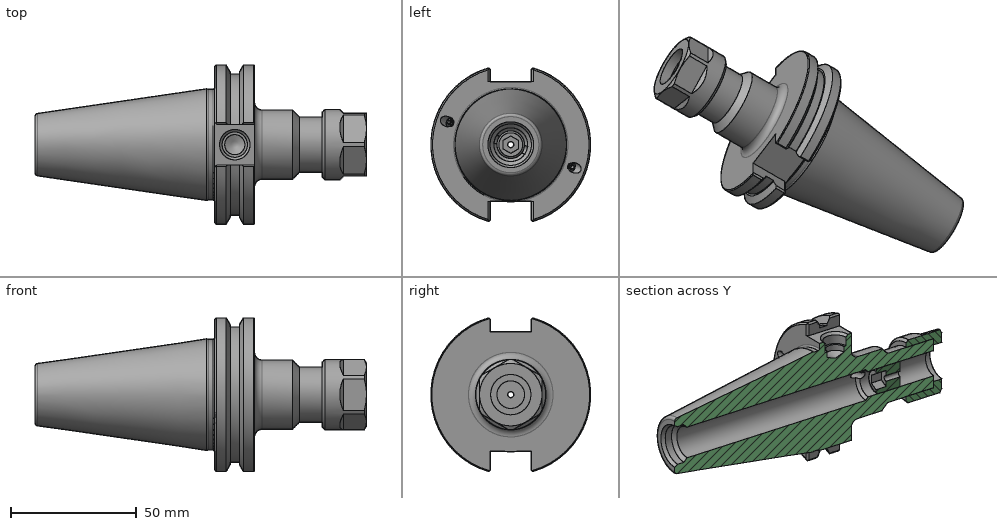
import cadquery as cq
import math


gauge_radius = 44.45 / 2
taper_length = 68.2
taper_slope = 7 / 48
taper_end_fillet = 1.3
relief_start = 0.7
relief_radius = gauge_radius - 0.2
relief_fillet = 0.7

flange_radius = 63.55 / 2
flange_front = 3.2
flange_rear = 19.1
flange_front_chamfer = 0.7
flange_rear_chamfer = 0.4
groove_center = 11.2
groove_floor_radius = 56.25 / 2
groove_floor_width = 3.6
groove_wall_height = 0.75
groove_flank_angle = 30

slot_width = 16.1
slot_edge_chamfer = 0.9
upper_slot_floor = 25.0
lower_slot_floor = 22.5

chip_hole_diameter = 10.05
chip_hole_mouth_diameter = 12.1
chip_hole_depth = 4.8
pilot_diameter = 8.0
pilot_depth = 2.5
drill_tip_angle = 140

neck_radius = 13.8
neck_fillet = 3.0
neck_end = 34.1
nose_radius = 22 / 2

nut_start = 45.9
nut_end = nut_start + 17.66
nut_radius = 28 / 2
nut_rear_chamfer = 1.1
nut_flat_width = 25.0
nut_flat_start = 54.4
nut_end_radius = 12.4
nut_chamfer_angle = 30
nut_lip = 4.0
nut_opening_radius = 16 / 2
nose_end = nut_end - nut_lip

bore_mouth_radius = 18.2 / 2
counterbore_radius = 16.46 / 2
counterbore_depth = 4.6
bore_mouth_angle = 30
thread_bore_radius = 13.39 / 2
thread_bore_end = 26.0
screw_bore_radius = 10.97 / 2

screw_start = 31.0
screw_length = 12.0
screw_face_radius = 9.46 / 2
screw_socket_width = 6.0
screw_socket_depth = 5.0
screw_hole_diameter = 2.29

channel_circle_radius = 27.0
channel_azimuth = 20
channel_tilt = 42
channel_diameter = 3.3
channel_length = 35.0
plug_diameter = 4.0
plug_depth = 1.7
plug_chamfer = 0.3
plug_length = 4.0
plug_socket_width = 2.0
plug_socket_depth = 1.5

hex_half_angle = 30
margin = 5.0


def across_corners(flat_width):
    """Corner diameter of a hexagon with the given width across flats."""
    return flat_width / math.cos(math.radians(hex_half_angle))


def revolve_profile(profile):
    """Turn a closed (x, radius) profile about the X axis."""
    return profile.close().revolve(360, (0, 0, 0), (1, 0, 0))


def x_plane(x):
    """Plane square to the chuck axis, with its normal along +X."""
    return cq.Workplane("YZ", origin=(x, 0, 0))



def holder_blank():
    small_end_radius = gauge_radius - taper_length * taper_slope
    taper = (
        cq.Workplane("XY")
        .moveTo(-taper_length, 0)
        .lineTo(-taper_length, small_end_radius)
        .lineTo(0, gauge_radius)
        .lineTo(relief_start, relief_radius)
        .lineTo(relief_start, 0)
    )
    taper = revolve_profile(taper).faces("<X").edges().fillet(taper_end_fillet)

    flank_height = flange_radius - groove_floor_radius - groove_wall_height
    floor_half = groove_floor_width / 2
    mouth_half = floor_half + flank_height * math.tan(math.radians(groove_flank_angle))
    groove_wall_top = groove_floor_radius + groove_wall_height
    body = (
        cq.Workplane("XY")
        .moveTo(relief_start, 0)
        .lineTo(relief_start, relief_radius)
        .lineTo(flange_front - relief_fillet, relief_radius)
        .radiusArc((flange_front, relief_radius + relief_fillet), -relief_fillet)
        .lineTo(flange_front, flange_radius - flange_front_chamfer)
        .lineTo(flange_front + flange_front_chamfer, flange_radius)
        .lineTo(groove_center - mouth_half, flange_radius)
        .lineTo(groove_center - floor_half, groove_wall_top)
        .lineTo(groove_center - floor_half, groove_floor_radius)
        .lineTo(groove_center + floor_half, groove_floor_radius)
        .lineTo(groove_center + floor_half, groove_wall_top)
        .lineTo(groove_center + mouth_half, flange_radius)
        .lineTo(flange_rear - flange_rear_chamfer, flange_radius)
        .lineTo(flange_rear, flange_radius - flange_rear_chamfer)
        .lineTo(flange_rear, neck_radius + neck_fillet)
        .radiusArc((flange_rear + neck_fillet, neck_radius), -neck_fillet)
        .lineTo(neck_end, neck_radius)
        .lineTo(neck_end + neck_radius - nose_radius, nose_radius)
        .lineTo(nose_end, nose_radius)
        .lineTo(nose_end, 0)
    )
    return taper.union(revolve_profile(body))


def axial_bore():
    mouth = -taper_length
    mouth_depth = (bore_mouth_radius - counterbore_radius) / math.tan(math.radians(bore_mouth_angle))
    step = counterbore_radius - thread_bore_radius
    profile = (
        cq.Workplane("XY")
        .moveTo(mouth, 0)
        .lineTo(mouth, bore_mouth_radius)
        .lineTo(mouth + mouth_depth, counterbore_radius)
        .lineTo(mouth + counterbore_depth, counterbore_radius)
        .lineTo(mouth + counterbore_depth + step, thread_bore_radius)
        .lineTo(thread_bore_end, thread_bore_radius)
        .lineTo(thread_bore_end + thread_bore_radius - screw_bore_radius, screw_bore_radius)
        .lineTo(nose_end, screw_bore_radius)
        .lineTo(nose_end, 0)
    )
    return revolve_profile(profile)


def drive_slot(floor_height):
    """Slot opening toward +Z, widened at the front face and at the outer rim."""
    half = slot_width / 2
    front_half = half + slot_edge_chamfer
    plan = [
        (flange_front, -front_half),
        (flange_front, front_half),
        (flange_front + slot_edge_chamfer, half),
        (flange_rear, half),
        (flange_rear, -half),
        (flange_front + slot_edge_chamfer, -half),
    ]
    channel = (
        cq.Workplane("XY", origin=(0, 0, floor_height))
        .polyline(plan)
        .close()
        .extrude(flange_radius + margin - floor_height)
    )
    rim_height = math.sqrt(flange_radius**2 - half**2)
    chamfer_bottom = rim_height - slot_edge_chamfer
    chamfer_top = rim_height + margin
    wide_half = half + chamfer_top - chamfer_bottom
    rim_chamfer = (
        x_plane(flange_front)
        .polyline([
            (-half, chamfer_bottom),
            (half, chamfer_bottom),
            (wide_half, chamfer_top),
            (-wide_half, chamfer_top),
        ])
        .close()
        .extrude(flange_rear - flange_front)
    )
    return channel.union(rim_chamfer)


def chip_hole():
    radius = chip_hole_diameter / 2
    mouth_radius = chip_hole_mouth_diameter / 2
    pilot_radius = pilot_diameter / 2
    tip_height = pilot_radius / math.tan(math.radians(drill_tip_angle / 2))
    floor_height = upper_slot_floor - chip_hole_depth
    return (
        cq.Workplane("XZ", origin=(groove_center, 0, 0))
        .moveTo(0, upper_slot_floor)
        .lineTo(mouth_radius, upper_slot_floor)
        .lineTo(radius, upper_slot_floor - (mouth_radius - radius))
        .lineTo(radius, floor_height)
        .lineTo(pilot_radius, floor_height)
        .lineTo(pilot_radius, floor_height - pilot_depth)
        .lineTo(0, floor_height - pilot_depth - tip_height)
        .close()
        .revolve(360, (0, 0, 0), (0, 1, 0))
    )


def channel_plane(azimuth, depth):
    """Plane across a coolant channel, at a depth along it from the flange face."""
    tilt = math.radians(channel_tilt)
    turn = math.radians(azimuth)
    outward = cq.Vector(0, math.cos(turn), math.sin(turn))
    direction = cq.Vector(math.cos(tilt), 0, 0) - outward * math.sin(tilt)
    mouth = cq.Vector(flange_front, 0, 0) + outward * channel_circle_radius
    sideways = cq.Vector(0, -math.sin(turn), math.cos(turn))
    return cq.Workplane(cq.Plane(mouth + direction * depth, sideways, direction))


def coolant_channel(azimuth):
    plug_end = plug_depth + plug_length
    seat = (
        channel_plane(azimuth, -margin)
        .circle(plug_diameter / 2)
        .extrude(margin + plug_end)
    )
    drill = channel_plane(azimuth, plug_end).circle(channel_diameter / 2)
    return seat.union(drill.extrude(channel_length - plug_end))


channel_azimuths = [channel_azimuth, channel_azimuth + 180]

holder = holder_blank().cut(axial_bore())
holder = holder.cut(drive_slot(upper_slot_floor))
holder = holder.cut(drive_slot(lower_slot_floor).rotate((0, 0, 0), (1, 0, 0), 180))
holder = holder.cut(chip_hole())
for azimuth in channel_azimuths:
    holder = holder.cut(coolant_channel(azimuth))



def nut_flat_cutter():
    """Ring around the hexagon, with a 45 degree run-out at the rear end of every flat."""
    length = nut_end - nut_flat_start
    runout = nut_radius - nut_flat_width / 2
    hexagon = (
        x_plane(nut_flat_start)
        .polygon(6, across_corners(nut_flat_width))
        .extrude(length)
    )
    flare = (
        x_plane(nut_flat_start)
        .polygon(6, across_corners(nut_flat_width))
        .workplane(offset=-runout)
        .polygon(6, across_corners(nut_flat_width + 2 * runout))
        .loft(ruled=True)
    )
    keep = hexagon.union(flare).rotate((0, 0, 0), (1, 0, 0), hex_half_angle)
    ring = x_plane(nut_flat_start - runout).circle(nut_radius + margin).extrude(length + runout)
    return ring.cut(keep)


def clamping_nut():
    front_drop = nut_radius - nut_end_radius
    front_chamfer = front_drop * math.tan(math.radians(nut_chamfer_angle))
    profile = (
        cq.Workplane("XY")
        .moveTo(nut_start, nose_radius)
        .lineTo(nut_start, nut_radius - nut_rear_chamfer)
        .lineTo(nut_start + nut_rear_chamfer, nut_radius)
        .lineTo(nut_end - front_chamfer, nut_radius)
        .lineTo(nut_end, nut_end_radius)
        .lineTo(nut_end, nut_opening_radius)
        .lineTo(nose_end, nut_opening_radius)
        .lineTo(nose_end, nose_radius)
    )
    return revolve_profile(profile).cut(nut_flat_cutter())


nut = clamping_nut()



def backup_screw():
    blank = (
        x_plane(screw_start)
        .circle(screw_bore_radius)
        .extrude(screw_length)
        .faces("<X")
        .chamfer(screw_bore_radius - screw_face_radius)
    )
    socket = (
        x_plane(screw_start)
        .polygon(6, across_corners(screw_socket_width))
        .extrude(screw_socket_depth)
        .rotate((0, 0, 0), (1, 0, 0), hex_half_angle)
    )
    through_hole = x_plane(screw_start).circle(screw_hole_diameter / 2).extrude(screw_length)
    return blank.cut(socket).cut(through_hole)


screw = backup_screw()



def sealing_plug(azimuth):
    blank = (
        channel_plane(azimuth, plug_depth)
        .circle(plug_diameter / 2)
        .extrude(plug_length)
        .faces("<X")
        .chamfer(plug_chamfer)
    )
    socket = channel_plane(azimuth, plug_depth).polygon(6, across_corners(plug_socket_width))
    return blank.cut(socket.extrude(plug_socket_depth))


plugs = [sealing_plug(azimuth) for azimuth in channel_azimuths]

result = cq.Compound.makeCompound([
    holder.val(),
    nut.val(),
    screw.val(),
    *[plug.val() for plug in plugs],
])